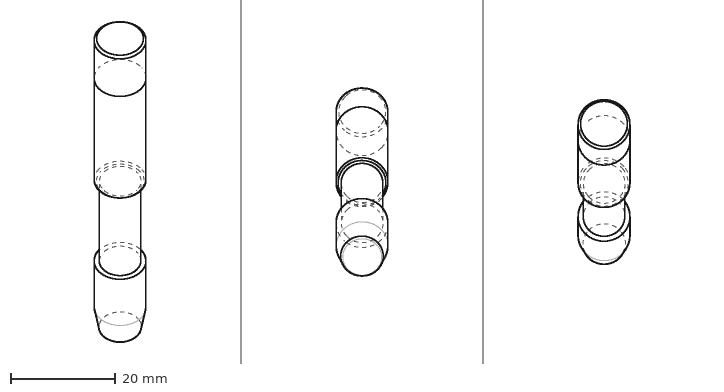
import cadquery as cq
import math

total_length = 83.3
body_diameter = 10.0
body_radius = body_diameter / 2

point_half_angle = 45.0
point_height = 3.75
point_radius = point_height * math.tan(math.radians(point_half_angle))
break_height = 0.4
lead_in_small_radius = 4.1
lead_in_bottom = point_height + break_height
lead_in_top = 9.7
guide_top = 22.3
neck_radius = 4.0

shank_bottom = 44.2
shank_chamfer = 0.4
cap_length = 10.8
cap_chamfer = 0.5
cap_bottom = total_length - cap_length


def make_pin():
    """Pointed pin with a guide collar, a reduced neck and a chamfered shank."""
    profile = [
        (0, 0),
        (point_radius, point_height),
        (lead_in_small_radius, lead_in_bottom),
        (body_radius, lead_in_top),
        (body_radius, guide_top),
        (neck_radius, guide_top),
        (neck_radius, shank_bottom),
        (body_radius - shank_chamfer, shank_bottom),
        (body_radius, shank_bottom + shank_chamfer),
        (body_radius, cap_bottom),
        (0, cap_bottom),
    ]
    return cq.Workplane("XZ").polyline(profile).close().revolve(360, (0, 0), (0, 1))


def make_cap():
    """Cylindrical end cap, flush with the shank, with a chamfered top rim."""
    profile = [
        (0, cap_bottom),
        (body_radius, cap_bottom),
        (body_radius, total_length - cap_chamfer),
        (body_radius - cap_chamfer, total_length),
        (0, total_length),
    ]
    return cq.Workplane("XZ").polyline(profile).close().revolve(360, (0, 0), (0, 1))


pin = make_pin()
cap = make_cap()

result = cq.Compound.makeCompound([pin.val(), cap.val()])